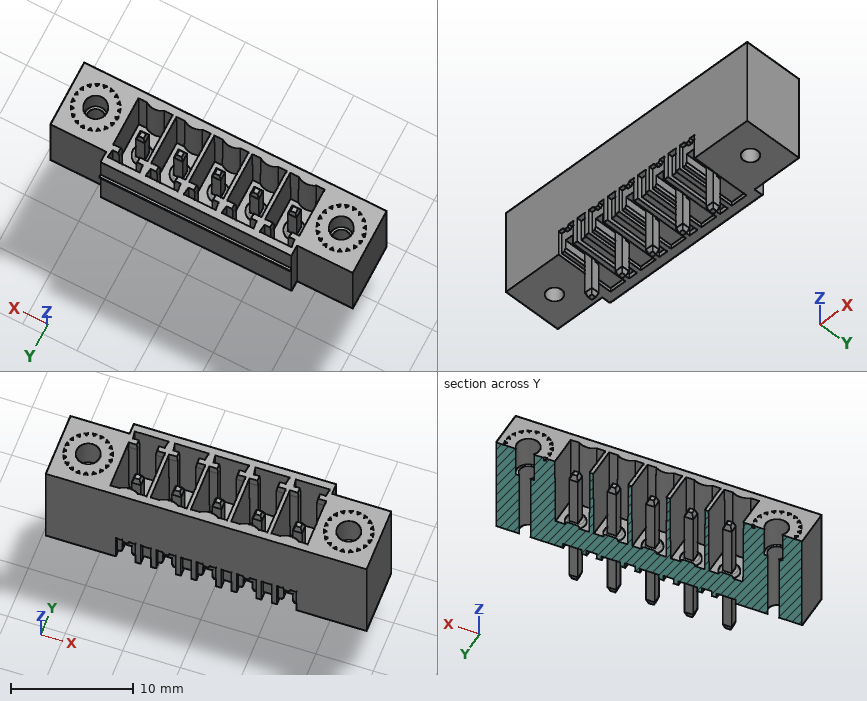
import cadquery as cq


length = 27.9
housing_height = 9.2
front_y = -3.0
ear_back_y = 3.0
rear_y = 4.02
rear_length = 17.6
rear_edge_radius = 0.22

ridge_projection = 0.22
ridge_top_z = 6.0
ridge_root_height = 0.3
ridge_tip_height = 0.22

pin_count = 5
row_span = 14.0
pitch = row_span / (pin_count - 1)
pin_xs = [i * pitch - row_span / 2 for i in range(pin_count)]
gap_xs = [x + pitch / 2 for x in pin_xs[:-1]]

pin_width = 0.8
pin_tip_width = 0.45
pin_taper_length = 0.5
pin_bottom_z = -3.4
pin_top_z = 8.0

pocket_floor_z = 2.7
pocket_width = 3.15
pocket_front_y = -2.32
key_front_y = 2.1
key_back_y = 2.65
pocket_back_y = 3.35
neck_width = 1.6
key_slot_front_width = 2.75
key_slot_back_width = 2.95
bump_width = 1.62
bump_height = 0.25
lead_in_depth = 0.55
lead_in_width = 0.08
pocket_draft = 0.05

boss_base_diameter = 1.8
boss_top_diameter = 1.4
boss_height = 0.28
boss_edge_radius = (boss_base_diameter - boss_top_diameter) / 2

recess_height = 2.7
channel_back_y = ear_back_y
pin_recess_width = 1.7
pin_recess_depth = 0.35
pin_channel_height = 0.42
gap_recess_width = 0.9
gap_recess_depth = 0.47
gap_channel_height = 0.5
tab_root_width = 0.65
tab_tip_width = 0.4
tab_height = 0.25

slot_top_z = 1.62
slot_flare_height = 0.28
slot_flare_width = 0.15

insert_x = 11.33
thread_diameter = 1.6
entry_diameter = 2.05
entry_depth = 2.8
knurl_count = 19
knurl_radius = 2.05
knurl_depth = 0.22
knurl_width = 0.33
knurl_length = 0.28


def block(x, width, y_range, z_range):
    """Box centred on x, between two Y planes and two Z planes."""
    y0, y1 = y_range
    z0, z1 = z_range
    return (
        cq.Workplane("XY")
        .box(width, y1 - y0, z1 - z0, centered=(True, False, False))
        .translate((x, y0, z0))
    )


def make_housing():
    ears = block(0, length, (front_y, ear_back_y), (0, housing_height))
    rear = block(0, rear_length, (front_y, rear_y), (0, housing_height))
    rear = rear.edges(">Y and <Z").fillet(rear_edge_radius)
    ridge_root_y = (pocket_back_y + rear_y) / 2
    ridge = (
        cq.Workplane("YZ")
        .polyline([
            (ridge_root_y, ridge_top_z - ridge_root_height),
            (rear_y, ridge_top_z - ridge_root_height),
            (rear_y + ridge_projection, ridge_top_z - ridge_tip_height),
            (rear_y + ridge_projection, ridge_top_z),
            (ridge_root_y, ridge_top_z),
        ])
        .close()
        .extrude(rear_length / 2, both=True)
    )
    return ears.union(rear).union(ridge)


def pocket_section(z, inset):
    """Outline of the wide part of a pocket at one height, its front and sides moved in by inset."""
    half = pocket_width / 2 - inset
    front = pocket_front_y + inset
    back = key_front_y + lead_in_width
    return cq.Wire.assembleEdges([
        cq.Edge.makeThreePointArc(
            cq.Vector(-bump_width / 2, front, z),
            cq.Vector(0, front + bump_height, z),
            cq.Vector(bump_width / 2, front, z),
        ),
        cq.Edge.makeLine(cq.Vector(bump_width / 2, front, z), cq.Vector(half, front, z)),
        cq.Edge.makeLine(cq.Vector(half, front, z), cq.Vector(half, back, z)),
        cq.Edge.makeLine(cq.Vector(half, back, z), cq.Vector(-half, back, z)),
        cq.Edge.makeLine(cq.Vector(-half, back, z), cq.Vector(-half, front, z)),
        cq.Edge.makeLine(cq.Vector(-half, front, z), cq.Vector(-bump_width / 2, front, z)),
    ])


def make_pocket():
    """Cutter for one plug pocket, centred on its pin."""
    depth = housing_height - pocket_floor_z
    lead_in_z = housing_height - lead_in_depth

    walls = cq.Solid.makeLoft(
        [pocket_section(pocket_floor_z, pocket_draft), pocket_section(housing_height, 0)],
        True,
    )
    side_profile = (
        cq.Workplane("YZ")
        .polyline([
            (pocket_front_y, pocket_floor_z),
            (key_front_y, pocket_floor_z),
            (key_front_y, lead_in_z),
            (key_front_y + lead_in_width, housing_height),
            (pocket_front_y, housing_height),
        ])
        .close()
        .extrude(pocket_width / 2, both=True)
    )
    main = side_profile.intersect(cq.Workplane(obj=walls))

    neck = block(0, neck_width, (0, pocket_back_y), (pocket_floor_z, housing_height))
    key_slot = (
        cq.Workplane("XY", origin=(0, 0, pocket_floor_z))
        .polyline([
            (-key_slot_front_width / 2, key_back_y),
            (key_slot_front_width / 2, key_back_y),
            (key_slot_back_width / 2, pocket_back_y),
            (-key_slot_back_width / 2, pocket_back_y),
        ])
        .close()
        .extrude(depth)
    )
    tip_lead_in = (
        cq.Workplane("XZ", origin=(0, key_back_y, 0))
        .polyline([
            (-neck_width / 2, lead_in_z),
            (neck_width / 2, lead_in_z),
            (neck_width / 2 + lead_in_width, housing_height),
            (-neck_width / 2 - lead_in_width, housing_height),
        ])
        .close()
        .extrude(key_back_y - key_front_y)
    )
    return main.union(neck).union(key_slot).union(tip_lead_in)


def make_pin_recess():
    """Cutter below one pocket: front recess with its tab, pin slot and channel."""
    recess_back_y = front_y + pin_recess_depth
    recess = (
        cq.Workplane("XZ", origin=(0, recess_back_y, 0))
        .polyline([
            (-pin_recess_width / 2, 0),
            (pin_recess_width / 2, 0),
            (pin_recess_width / 2, recess_height),
            (tab_root_width / 2, recess_height),
            (tab_tip_width / 2, recess_height - tab_height),
            (-tab_tip_width / 2, recess_height - tab_height),
            (-tab_root_width / 2, recess_height),
            (-pin_recess_width / 2, recess_height),
        ])
        .close()
        .extrude(pin_recess_depth)
    )
    channel = block(0, pin_recess_width, (recess_back_y, channel_back_y), (0, pin_channel_height))
    flare_top_z = pin_channel_height + slot_flare_height
    half_slot = pin_width / 2
    half_flare = half_slot + slot_flare_width
    slot = (
        cq.Workplane("XZ")
        .polyline([
            (-half_flare, pin_channel_height),
            (half_flare, pin_channel_height),
            (half_slot, flare_top_z),
            (half_slot, slot_top_z),
            (-half_slot, slot_top_z),
            (-half_slot, flare_top_z),
        ])
        .close()
        .extrude(-recess_back_y)
    )
    return recess.union(channel).union(slot)


def make_gap_recess():
    """Cutter between two pockets: plain front recess and channel."""
    recess_back_y = front_y + gap_recess_depth
    recess = block(0, gap_recess_width, (front_y, recess_back_y), (0, recess_height))
    channel = block(0, gap_recess_width, (recess_back_y, channel_back_y), (0, gap_channel_height))
    return recess.union(channel)


def make_insert_hole():
    """Cutter for one ear: stepped hole and a ring of knurl grooves in the top face."""
    hole = cq.Workplane("XY").circle(thread_diameter / 2).extrude(housing_height)
    entry = (
        cq.Workplane("XY", origin=(0, 0, housing_height - entry_depth))
        .circle(entry_diameter / 2)
        .extrude(entry_depth)
    )
    groove = (
        cq.Workplane("XY", origin=(0, 0, housing_height - knurl_length))
        .polyline([
            (knurl_radius - knurl_depth, 0),
            (knurl_radius, -knurl_width / 2),
            (knurl_radius, knurl_width / 2),
        ])
        .close()
        .extrude(knurl_length)
    )
    cutter = hole.union(entry)
    for i in range(knurl_count):
        cutter = cutter.union(groove.rotate((0, 0, 0), (0, 0, 1), i * 360 / knurl_count))
    return cutter


def make_pin():
    """Square pin, tapered at both ends, with its boss on the pocket floor."""
    shank_bottom_z = pin_bottom_z + pin_taper_length
    shank_top_z = pin_top_z - pin_taper_length
    half = pin_width / 2
    shank = block(0, pin_width, (-half, half), (shank_bottom_z, shank_top_z))
    taper = (
        cq.Workplane("XY")
        .rect(pin_width, pin_width)
        .workplane(offset=pin_taper_length)
        .rect(pin_tip_width, pin_tip_width)
        .loft()
    )
    top_taper = taper.translate((0, 0, shank_top_z))
    bottom_taper = taper.mirror("XY").translate((0, 0, shank_bottom_z))
    boss = (
        cq.Workplane("XY", origin=(0, 0, pocket_floor_z))
        .circle(boss_base_diameter / 2)
        .extrude(boss_height)
        .faces(">Z")
        .edges()
        .fillet(boss_edge_radius)
    )
    return shank.union(top_taper).union(bottom_taper).union(boss)


result = make_housing()
for x in pin_xs:
    result = result.cut(make_pocket().translate((x, 0, 0)))
    result = result.cut(make_pin_recess().translate((x, 0, 0)))
for x in gap_xs:
    result = result.cut(make_gap_recess().translate((x, 0, 0)))
left_insert_hole = make_insert_hole().translate((-insert_x, 0, 0))
result = result.cut(left_insert_hole).cut(left_insert_hole.mirror("YZ"))
for x in pin_xs:
    result = result.union(make_pin().translate((x, 0, 0)))